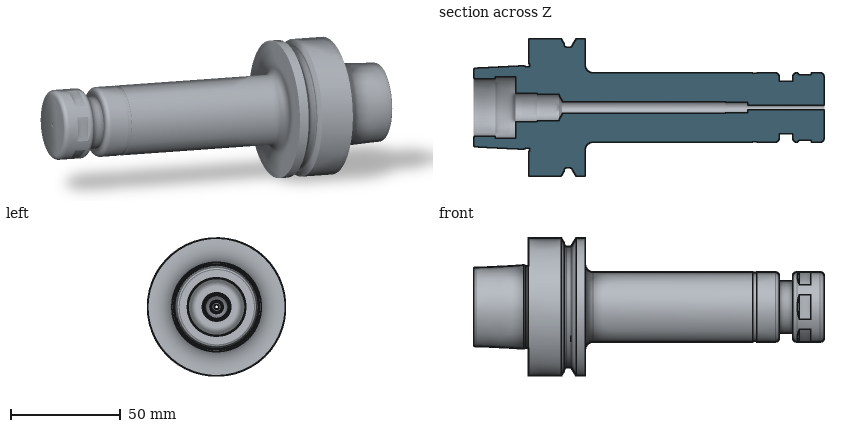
import cadquery as cq
import math

TIP_X = -25.0
TAPER_END_X = -2.2
FLANGE_WIDTH = 26.0
BODY_END_X = 114.5
NUT_START_X = 120.5
NUT_END_X = 135.0

TIP_RADIUS = 18.04
TAPER_SLOPE = 1 / 20
TIP_ROUNDING = 0.9
RELIEF_START_X = -1.3
RELIEF_RADIUS = 18.8

RECESS_MOUTH_RADIUS = 20.4
RECESS_FLOOR_RADIUS = 19.6
RECESS_DEPTH = 0.5

FLANGE_RADIUS = 63.0 / 2
GROOVE_CENTER_X = 18.35
GROOVE_MOUTH_WIDTH = 6.7
GROOVE_FLOOR_RADIUS = 27.7
GROOVE_LEDGE_RADIUS = 29.0
GROOVE_WALL_ANGLE = 30.0
GROOVE_FLOOR_FILLET = 0.5
GROOVE_COVE_RADIUS = 0.9

BODY_RADIUS = 32.0 / 2
BODY_ROOT_FILLET = 3.4
BODY_END_FILLET = 2.0
MARK_GROOVE_START_X = 102.3
MARK_GROOVE_WIDTH = 1.9
MARK_GROOVE_DEPTH = 0.25
NECK_RADIUS = 24.0 / 2

NUT_RADIUS = 32.0 / 2
NUT_FILLET = 2.0
FLAT_COUNT = 6
FLAT_DISTANCE = 15.0
FLAT_START_X = 123.6
FLAT_END_X = 128.8

ENTRY_RADIUS = 26.0 / 2
ENTRY_CHAMFER_RADIAL = 0.3
ENTRY_CHAMFER_AXIAL = 0.8
ENTRY_LENGTH = 10.0
UNDERCUT_RADIUS = 28.0 / 2
UNDERCUT_END_X = -6.0

COUNTERBORE_RADIUS = 12.9 / 2
COUNTERBORE_END_X = 4.0
STEP_RADIUS = 12.0 / 2
STEP_END_X = 14.0
CONE_MOUTH_RADIUS = 10.6 / 2
CONE_TIP_RADIUS = 6.0 / 2
CONE_HALF_ANGLE = 60.0
PASSAGE_RADIUS = 5.2 / 2
PASSAGE_END_X = 90.0
LOWER_PASSAGE_RADIUS = 4.5 / 2
LOWER_PASSAGE_END_X = 100.0
THROUGH_HOLE_RADIUS = 2.0 / 2


def revolve_about_x(outline):
    """Close an outline that starts and ends on the X axis, and turn it around that axis."""
    return outline.close().revolve(360, (0, 0, 0), (1, 0, 0))


def make_taper_shank():
    """Tapered shank, running into the recess floor of the flange."""
    taper_end_radius = TIP_RADIUS + (TAPER_END_X - TIP_X) * TAPER_SLOPE
    shank = revolve_about_x(
        cq.Workplane("XY")
        .moveTo(TIP_X, 0)
        .lineTo(TIP_X, TIP_RADIUS)
        .lineTo(TAPER_END_X, taper_end_radius)
        .lineTo(RELIEF_START_X, RELIEF_RADIUS)
        .lineTo(RECESS_DEPTH, RELIEF_RADIUS)
        .lineTo(RECESS_DEPTH, 0)
    )
    return shank.faces("<X").edges().fillet(TIP_ROUNDING)


def make_flange():
    """Flange disc with the face recess and the gripper groove."""
    wall_slope = math.tan(math.radians(GROOVE_WALL_ANGLE))
    groove_start = GROOVE_CENTER_X - GROOVE_MOUTH_WIDTH / 2
    groove_end = GROOVE_CENTER_X + GROOVE_MOUTH_WIDTH / 2
    ledge_x = groove_start + (FLANGE_RADIUS - GROOVE_LEDGE_RADIUS) * wall_slope
    floor_end = groove_end - (FLANGE_RADIUS - GROOVE_FLOOR_RADIUS) * wall_slope
    flange = revolve_about_x(
        cq.Workplane("XY")
        .moveTo(RECESS_DEPTH, 0)
        .lineTo(RECESS_DEPTH, RECESS_FLOOR_RADIUS)
        .lineTo(0, RECESS_MOUTH_RADIUS)
        .lineTo(0, FLANGE_RADIUS)
        .lineTo(groove_start, FLANGE_RADIUS)
        .lineTo(ledge_x, GROOVE_LEDGE_RADIUS)
        .lineTo(ledge_x, GROOVE_FLOOR_RADIUS + GROOVE_COVE_RADIUS)
        .radiusArc((ledge_x + GROOVE_COVE_RADIUS, GROOVE_FLOOR_RADIUS), -GROOVE_COVE_RADIUS)
        .lineTo(floor_end, GROOVE_FLOOR_RADIUS)
        .lineTo(groove_end, FLANGE_RADIUS)
        .lineTo(FLANGE_WIDTH, FLANGE_RADIUS)
        .lineTo(FLANGE_WIDTH, 0)
    )
    floor_corner = cq.selectors.BoxSelector(
        (GROOVE_CENTER_X, -FLANGE_RADIUS, -FLANGE_RADIUS),
        ((floor_end + groove_end) / 2, FLANGE_RADIUS, FLANGE_RADIUS),
    )
    return flange.edges(floor_corner).fillet(GROOVE_FLOOR_FILLET)


def make_body():
    """Cylindrical body with flared root, marking groove, rounded end and neck."""
    root_end_x = FLANGE_WIDTH + BODY_ROOT_FILLET
    mark_groove_end_x = MARK_GROOVE_START_X + MARK_GROOVE_WIDTH
    mark_groove_radius = BODY_RADIUS - MARK_GROOVE_DEPTH
    return revolve_about_x(
        cq.Workplane("XY")
        .moveTo(FLANGE_WIDTH, 0)
        .lineTo(FLANGE_WIDTH, BODY_RADIUS + BODY_ROOT_FILLET)
        .radiusArc((root_end_x, BODY_RADIUS), -BODY_ROOT_FILLET)
        .lineTo(MARK_GROOVE_START_X, BODY_RADIUS)
        .lineTo(MARK_GROOVE_START_X, mark_groove_radius)
        .lineTo(mark_groove_end_x, mark_groove_radius)
        .lineTo(mark_groove_end_x, BODY_RADIUS)
        .lineTo(BODY_END_X - BODY_END_FILLET, BODY_RADIUS)
        .radiusArc((BODY_END_X, BODY_RADIUS - BODY_END_FILLET), BODY_END_FILLET)
        .lineTo(BODY_END_X, NECK_RADIUS)
        .lineTo(NUT_START_X, NECK_RADIUS)
        .lineTo(NUT_START_X, 0)
    )


def make_nut():
    """Rounded nut with wrench flats, each with a 45 degree wall on its body side."""
    nut = cq.Workplane("YZ").workplane(offset=NUT_START_X).circle(NUT_RADIUS).extrude(NUT_END_X - NUT_START_X)
    nut = nut.edges().fillet(NUT_FILLET)
    cutter_height = 2 * (NUT_RADIUS - FLAT_DISTANCE)
    cutter = (
        cq.Workplane("XY")
        .moveTo(FLAT_START_X, FLAT_DISTANCE)
        .lineTo(FLAT_END_X, FLAT_DISTANCE)
        .lineTo(FLAT_END_X, FLAT_DISTANCE + cutter_height)
        .lineTo(FLAT_START_X - cutter_height, FLAT_DISTANCE + cutter_height)
        .close()
        .extrude(NUT_RADIUS, both=True)
    )
    for index in range(FLAT_COUNT):
        nut = nut.cut(cutter.rotate((0, 0, 0), (1, 0, 0), index * 360 / FLAT_COUNT))
    return nut


def make_bore():
    """Solid of the whole central opening, from the shank tip to the nut face."""
    entry_end_x = TIP_X + ENTRY_LENGTH
    cone_length = (CONE_MOUTH_RADIUS - CONE_TIP_RADIUS) / math.tan(math.radians(CONE_HALF_ANGLE))
    cone_end_x = STEP_END_X + cone_length
    return revolve_about_x(
        cq.Workplane("XY")
        .moveTo(TIP_X, 0)
        .lineTo(TIP_X, ENTRY_RADIUS + ENTRY_CHAMFER_RADIAL)
        .lineTo(TIP_X + ENTRY_CHAMFER_AXIAL, ENTRY_RADIUS)
        .lineTo(entry_end_x, ENTRY_RADIUS)
        .lineTo(entry_end_x, UNDERCUT_RADIUS)
        .lineTo(UNDERCUT_END_X, UNDERCUT_RADIUS)
        .lineTo(UNDERCUT_END_X, COUNTERBORE_RADIUS)
        .lineTo(COUNTERBORE_END_X, COUNTERBORE_RADIUS)
        .lineTo(COUNTERBORE_END_X, STEP_RADIUS)
        .lineTo(STEP_END_X, STEP_RADIUS)
        .lineTo(STEP_END_X, CONE_MOUTH_RADIUS)
        .lineTo(cone_end_x, CONE_TIP_RADIUS)
        .lineTo(cone_end_x, PASSAGE_RADIUS)
        .lineTo(PASSAGE_END_X, PASSAGE_RADIUS)
        .lineTo(PASSAGE_END_X, LOWER_PASSAGE_RADIUS)
        .lineTo(LOWER_PASSAGE_END_X, LOWER_PASSAGE_RADIUS)
        .lineTo(LOWER_PASSAGE_END_X, THROUGH_HOLE_RADIUS)
        .lineTo(NUT_END_X, THROUGH_HOLE_RADIUS)
        .lineTo(NUT_END_X, 0)
    )


holder = make_taper_shank().union(make_flange()).union(make_body()).union(make_nut())
result = holder.cut(make_bore())